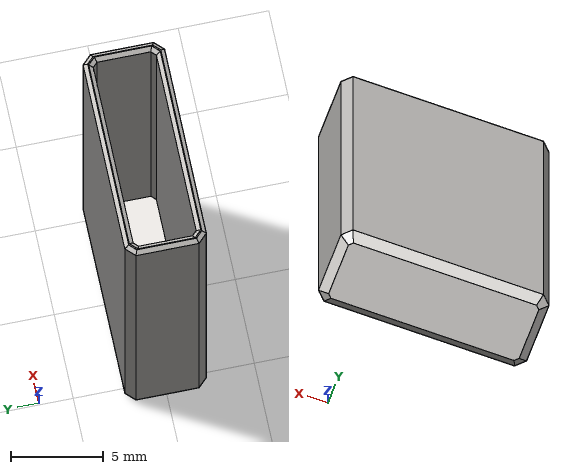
import cadquery as cq

width = 12.0
depth = 4.5
height = 21.25

wall = 0.5
floor_thickness = wall
outer_bevel = 0.5
cavity_bevel = outer_bevel / 2
rim_bevel = 0.23


def make_block():
    """Solid outer block with bevelled upright and bottom edges."""
    block = cq.Workplane("XY").box(width, depth, height, centered=(True, True, False))
    block = block.edges("|Z").chamfer(outer_bevel)
    return block.faces("<Z").chamfer(outer_bevel)


def make_cavity():
    """Straight pocket with bevelled corners, running from the floor to the open top."""
    cavity = cq.Workplane("XY").workplane(offset=floor_thickness)
    cavity = cavity.rect(width - 2 * wall, depth - 2 * wall).extrude(height - floor_thickness)
    return cavity.edges("|Z").chamfer(cavity_bevel)


sleeve = make_block().cut(make_cavity())

result = sleeve.faces(">Z").chamfer(rim_bevel)